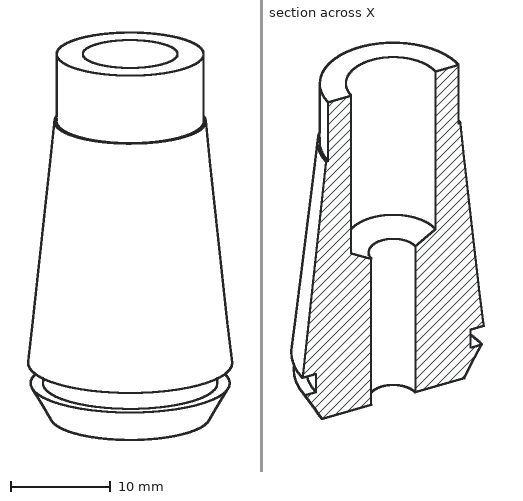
import math

import cadquery as cq

total_height = 38.0
groove_bottom = 3.5
groove_top = 5.62
shoulder_height = 30.95
bore_floor = 19.0

base_diameter = 16.05
flange_diameter = 20.0
groove_diameter = 17.48
body_diameter = 20.5
shoulder_diameter = 15.2
neck_diameter = 14.75

bore_diameter = 9.5
hole_diameter = 4.95
funnel_angle = 118.0
funnel_depth = (bore_diameter - hole_diameter) / 2 / math.tan(math.radians(funnel_angle / 2))

profile = [
    (hole_diameter, 0),
    (base_diameter, 0),
    (flange_diameter, groove_bottom),
    (groove_diameter, groove_bottom),
    (groove_diameter, groove_top),
    (body_diameter, groove_top),
    (shoulder_diameter, shoulder_height),
    (neck_diameter, shoulder_height),
    (neck_diameter, total_height),
    (bore_diameter, total_height),
    (bore_diameter, bore_floor),
    (hole_diameter, bore_floor - funnel_depth),
]
half_section = [(diameter / 2, height) for diameter, height in profile]

result = cq.Workplane("YZ").polyline(half_section).close().revolve(360, (0, 0), (0, 1))